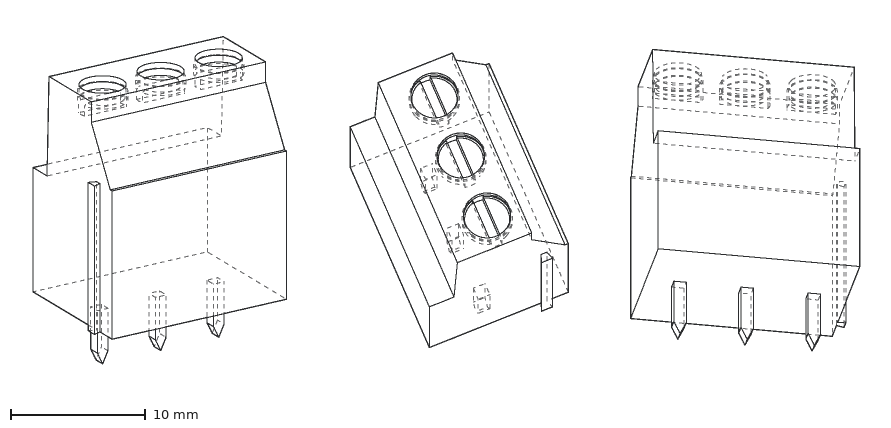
import cadquery as cq


pole_count = 3
pitch = 5.07

housing_width = 11.2
housing_length = 15.25
housing_height = 18.0
front_step_height = 9.95
front_wall_base_x = 2.0
front_wall_top_x = 2.25
top_edge_x = 8.25
slope_top_z = 16.35
slope_base_x = 10.93
slope_base_z = 11.87

rib_center_x = 9.23
rib_depth = 0.6
rib_outer_width = 0.9
rib_neck_width = 0.47

screw_x = 5.72
well_diameter = 3.5
well_depth = 0.5
screw_diameter = 3.75
screw_chamfer = 0.2
screw_recess = 1.0
slot_width = 0.83
slot_depth = 1.0

pin_x = 5.27
pin_width = 0.94
overall_height = 22.35
pin_length = overall_height - housing_height
pin_tip_length = 0.95

pole_positions = [(i - (pole_count - 1) / 2) * pitch for i in range(pole_count)]


def make_housing():
    """Stepped and sloped profile extruded along Y, centred on Y = 0."""
    profile = [
        (0, 0),
        (0, front_step_height),
        (front_wall_base_x, front_step_height),
        (front_wall_top_x, housing_height),
        (top_edge_x, housing_height),
        (top_edge_x, slope_top_z),
        (slope_base_x, slope_base_z),
        (housing_width, slope_base_z),
        (housing_width, 0),
    ]
    return cq.Workplane("XZ").polyline(profile).close().extrude(housing_length / 2, both=True)


def make_rib():
    """Vertical dovetail rib, narrow where it meets the housing."""
    root_y = -housing_length / 2
    tip_y = root_y - rib_depth
    section = [
        (rib_center_x - rib_neck_width / 2, root_y),
        (rib_center_x - rib_outer_width / 2, tip_y),
        (rib_center_x + rib_outer_width / 2, tip_y),
        (rib_center_x + rib_neck_width / 2, root_y),
    ]
    return cq.Workplane("XY").polyline(section).close().extrude(slope_base_z)


def make_screw_cut(y):
    """Well that widens below its rim down to a slotted screw head with a chamfered edge."""
    top = cq.Workplane("XY", origin=(screw_x, y, housing_height))
    floor_depth = screw_recess + slot_depth
    floor = top.workplane(offset=-floor_depth)
    well = top.circle(well_diameter / 2).extrude(-well_depth)
    bore = floor.circle(screw_diameter / 2).extrude(floor_depth - well_depth)
    head = floor.circle(screw_diameter / 2).extrude(slot_depth).faces(">Z").chamfer(screw_chamfer)
    slot = floor.rect(slot_width, screw_diameter).extrude(slot_depth)
    return well.union(bore).cut(head.cut(slot))


def make_pin(y):
    """Square-section pin below the housing, tapered in Y to a sharp edge along X."""
    half = pin_width / 2
    shoulder_z = pin_tip_length - pin_length
    outline = [
        (y - half, 0),
        (y - half, shoulder_z),
        (y, -pin_length),
        (y + half, shoulder_z),
        (y + half, 0),
    ]
    plane = cq.Workplane("YZ", origin=(pin_x, 0, 0))
    return plane.polyline(outline).close().extrude(half, both=True)


result = make_housing().union(make_rib())
for pole_y in pole_positions:
    result = result.cut(make_screw_cut(pole_y)).union(make_pin(pole_y))